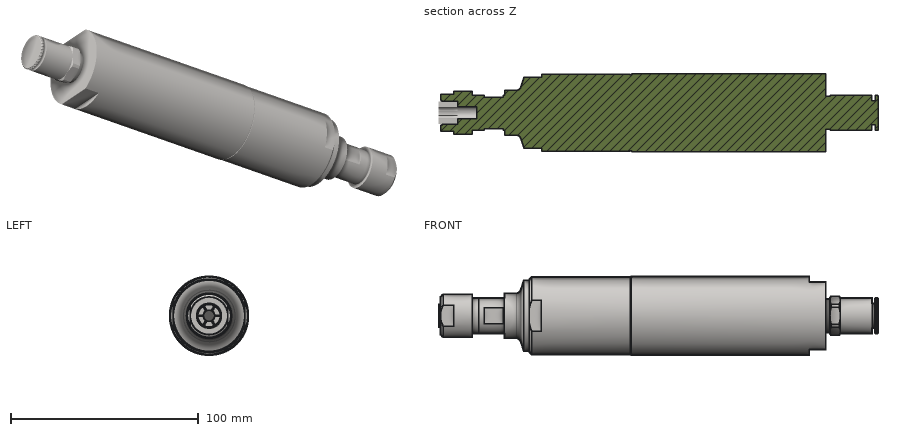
import cadquery as cq
import math


nut_front = 0.9
nut_rear = 17.9
shaft_step = 21.3
collar_front = 34.9
collar_flare = 41.2
cone_rear = 45.3
body_front = 48.3
groove_front = 101.8
groove_width = 0.7
groove_rear = groove_front + groove_width
body_rear = 206.0
hex_front = 208.2
hex_rear = 213.7
barrel_rear = 230.6
ring_front = 232.1
overall_length = 233.92

collet_diameter = 12.0
collet_bore_diameter = 6.0
nut_bore_diameter = 13.2
nut_diameter = 23.0
shaft_front_diameter = 18.98
shaft_diameter = 19.0
collar_diameter = 24.0
shoulder_diameter = 38.0
front_body_diameter = 41.5
groove_diameter = 40.77
body_diameter = 42.0
fitting_neck_diameter = 18.0
hex_corner_diameter = 21.0
barrel_diameter = 19.0
ring_neck_diameter = 13.2
ring_diameter = 19.0

nut_chamfer = 1.5
body_chamfer = 1.25
hex_chamfer_length = 0.6
hex_chamfer_depth = 1.0
ring_chamfer = 0.5
flare_radius = 2.5

collet_bore_depth = 20.0
collet_slot_count = 6
collet_slot_width = 0.6
collet_slot_depth = 10.0
nut_groove_depth = 1.0

nut_flat_rear = 8.0
nut_across_flats = 20.0
shaft_flat_front = 24.3
shaft_flat_rear = 34.3
shaft_across_flats = 17.0
body_flat_rear = 54.6
front_body_across_flats = shoulder_diameter
rear_flat_front = 197.3
rear_body_across_flats = 36.0
hex_across_flats = 19.0

knurl_count = 32
knurl_radius = 0.5


def cylinder(diameter, x_start, x_end):
    """Cylinder on the X axis between two stations."""
    return cq.Workplane("YZ", origin=(x_start, 0, 0)).circle(diameter / 2).extrude(x_end - x_start)


def cut_flat_pair(part, x_start, x_end, across, direction):
    """Cut two parallel wrench flats facing +/-Y or +/-Z."""
    length = x_end - x_start
    middle = (x_start + x_end) / 2
    depth = body_diameter
    offset = (across + depth) / 2
    for side in (-1, 1):
        block = cq.Workplane("XY").box(length, body_diameter, depth)
        if direction == "Y":
            block = block.rotate((0, 0, 0), (1, 0, 0), 90).translate((middle, side * offset, 0))
        else:
            block = block.translate((middle, 0, side * offset))
        part = part.cut(block)
    return part


def make_collet_and_nut():
    """Clamping nut with a V groove around the protruding, slotted collet."""
    nut = cylinder(nut_diameter, nut_front, nut_rear).faces("<X").chamfer(nut_chamfer)
    nut = cut_flat_pair(nut, nut_front, nut_flat_rear, nut_across_flats, "Y")
    part = nut.union(cylinder(collet_diameter, 0, nut_rear))

    groove_section = (
        cq.Workplane("XY")
        .moveTo(nut_front, collet_diameter / 2)
        .lineTo(nut_front, nut_bore_diameter / 2)
        .lineTo(nut_front + nut_groove_depth, (collet_diameter + nut_bore_diameter) / 4)
        .close()
    )
    part = part.cut(groove_section.revolve(360, (0, 0, 0), (1, 0, 0)))

    part = part.cut(cylinder(collet_bore_diameter, 0, collet_bore_depth))
    for index in range(collet_slot_count):
        slot = (
            cq.Workplane("XY")
            .box(collet_slot_depth, collet_diameter / 2, collet_slot_width)
            .translate((collet_slot_depth / 2, collet_diameter / 4, 0))
            .rotate((0, 0, 0), (1, 0, 0), index * 360 / collet_slot_count)
        )
        part = part.cut(slot)
    return part


def make_shaft():
    """Spindle shaft with two flats for the counter wrench."""
    shaft = cylinder(shaft_front_diameter, nut_rear, shaft_step)
    shaft = shaft.union(cylinder(shaft_diameter, shaft_step, collar_front))
    shaft = cut_flat_pair(shaft, shaft_flat_front, shaft_flat_rear, shaft_across_flats, "Y")
    return shaft.cut(cylinder(collet_bore_diameter, nut_rear, collet_bore_depth))


def make_collar_and_body():
    """Collar flaring into the shoulder cone, then the two-diameter motor body."""
    collar_radius = collar_diameter / 2
    shoulder_radius = shoulder_diameter / 2
    front_radius = front_body_diameter / 2
    groove_radius = groove_diameter / 2
    body_radius = body_diameter / 2

    to_edge_x = cone_rear - collar_flare
    to_edge_r = shoulder_radius - collar_radius - flare_radius
    edge_distance = math.hypot(to_edge_x, to_edge_r)
    cone_angle = math.atan2(to_edge_r, to_edge_x) + math.asin(flare_radius / edge_distance)

    def flare_point(angle):
        x = collar_flare + flare_radius * math.sin(angle)
        r = collar_radius + flare_radius * (1 - math.cos(angle))
        return x, r

    profile = (
        cq.Workplane("XY")
        .moveTo(collar_front, 0)
        .lineTo(collar_front, collar_radius)
        .lineTo(collar_flare, collar_radius)
        .threePointArc(flare_point(cone_angle / 2), flare_point(cone_angle))
        .lineTo(cone_rear, shoulder_radius)
        .lineTo(body_front, shoulder_radius)
        .lineTo(body_front, front_radius - body_chamfer)
        .lineTo(body_front + body_chamfer, front_radius)
        .lineTo(groove_front, front_radius)
        .lineTo(groove_front, groove_radius)
        .lineTo(groove_rear, groove_radius)
        .lineTo(groove_rear, body_radius)
        .lineTo(body_rear, body_radius)
        .lineTo(body_rear, 0)
        .close()
    )
    body = profile.revolve(360, (0, 0, 0), (1, 0, 0))
    body = cut_flat_pair(body, body_front, body_flat_rear, front_body_across_flats, "Y")
    return cut_flat_pair(body, rear_flat_front, body_rear, rear_body_across_flats, "Z")


def make_release_ring():
    """Chamfered push ring with round lengthwise knurl grooves around its rim."""
    ring = cylinder(ring_diameter, ring_front, overall_length)
    ring = ring.faces("<X or >X").chamfer(ring_chamfer)
    for index in range(knurl_count):
        angle = (index + 0.5) * 360 / knurl_count
        groove = cylinder(2 * knurl_radius, ring_front, overall_length)
        groove = groove.translate((0, ring_diameter / 2, 0)).rotate((0, 0, 0), (1, 0, 0), angle)
        ring = ring.cut(groove)
    return ring


def make_hose_fitting():
    """Push-in fitting: neck, hexagon with rounded corners, barrel and release ring."""
    neck = cylinder(fitting_neck_diameter, body_rear, hex_front)
    hexagon = (
        cq.Workplane("YZ", origin=(hex_front, 0, 0))
        .polygon(6, hex_across_flats / math.cos(math.pi / 6))
        .extrude(hex_rear - hex_front)
        .rotate((0, 0, 0), (1, 0, 0), 30)
    )
    corner_limit = cylinder(hex_corner_diameter, hex_front, hex_rear)
    corner_limit = corner_limit.faces("<X").chamfer(hex_chamfer_length, hex_chamfer_depth)
    corner_limit = corner_limit.faces(">X").chamfer(hex_chamfer_length, hex_chamfer_depth)
    hexagon = hexagon.intersect(corner_limit)
    barrel = cylinder(barrel_diameter, hex_rear, barrel_rear)
    ring_neck = cylinder(ring_neck_diameter, barrel_rear, ring_front)
    return neck.union(hexagon).union(barrel).union(ring_neck).union(make_release_ring())


result = (
    make_collar_and_body()
    .union(make_shaft())
    .union(make_collet_and_nut())
    .union(make_hose_fitting())
)